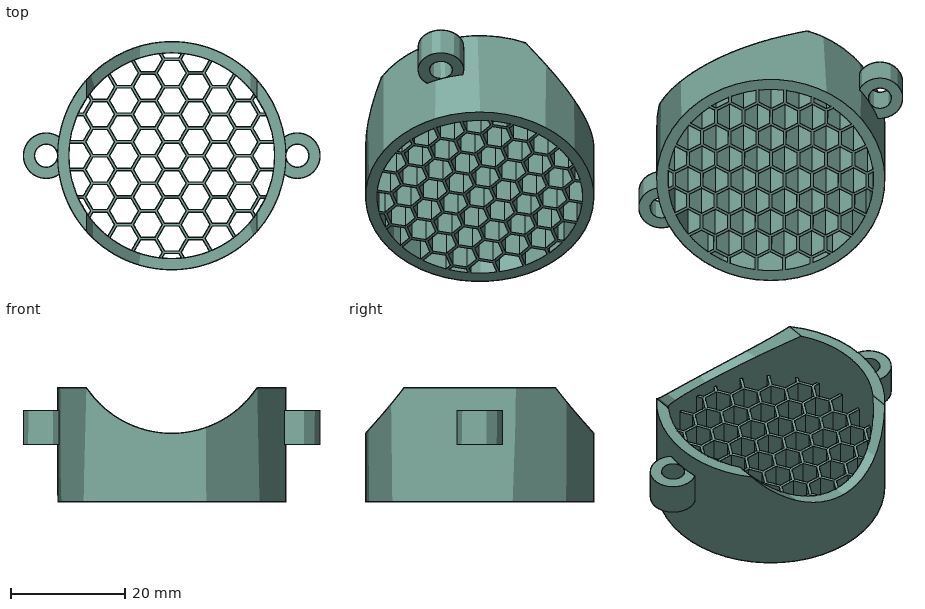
import cadquery as cq
import math

outer_diameter = 40.0
wall_thickness = 2.0
height = 20.0
outer_radius = outer_diameter / 2
bore_radius = outer_radius - wall_thickness

saddle_radius = 18.0
saddle_depth = 8.0
saddle_axis_z = height - saddle_depth + saddle_radius

ear_radius = 4.0
ear_hole_diameter = 4.0
ear_hole_radius = ear_hole_diameter / 2
ear_offset = outer_radius + ear_hole_radius
ear_bottom_z = 10.0
ear_height = 6.0

grid_thickness = 10.0
cell_sides = 6
cell_diameter = 5.0
cell_gap = 0.5
cell_pitch = cell_diameter * math.cos(math.pi / cell_sides) + cell_gap
column_pitch = cell_pitch * math.cos(math.pi / cell_sides)


def cell_centers():
    """Centers of every hexagonal cell that can reach into the bore."""
    reach = bore_radius + cell_diameter / 2
    columns = math.ceil(reach / column_pitch)
    rows = math.ceil(reach / cell_pitch)
    centers = []
    for column in range(-columns, columns + 1):
        stagger = cell_pitch / 2 if column % 2 else 0.0
        for row in range(-rows, rows + 1):
            x = column * column_pitch
            y = row * cell_pitch + stagger
            if math.hypot(x, y) < reach:
                centers.append((x, y))
    return centers


def make_honeycomb_openings():
    """Hexagonal through openings, trimmed where they meet the cup wall."""
    cells = (
        cq.Workplane("XY")
        .pushPoints(cell_centers())
        .polygon(cell_sides, cell_diameter)
        .extrude(grid_thickness)
    )
    bore_disc = cq.Workplane("XY").circle(bore_radius).extrude(grid_thickness)
    return cells.intersect(bore_disc)


def make_cup():
    """Round cup with an open honeycomb grid in its lower part."""
    cup = cq.Workplane("XY").circle(outer_radius).extrude(height)
    bore = (
        cq.Workplane("XY")
        .workplane(offset=grid_thickness)
        .circle(bore_radius)
        .extrude(height - grid_thickness)
    )
    return cup.cut(bore).cut(make_honeycomb_openings())


def make_ears():
    """Two ears with vertical holes, on opposite sides of the cup."""
    return (
        cq.Workplane("XY")
        .workplane(offset=ear_bottom_z)
        .pushPoints([(-ear_offset, 0), (ear_offset, 0)])
        .circle(ear_radius)
        .circle(ear_hole_radius)
        .extrude(ear_height)
    )


def make_saddle():
    """Cylinder along Y that scoops out the rim."""
    return (
        cq.Workplane("XZ")
        .center(0, saddle_axis_z)
        .circle(saddle_radius)
        .extrude(outer_radius, both=True)
    )


result = make_cup().union(make_ears()).cut(make_saddle())